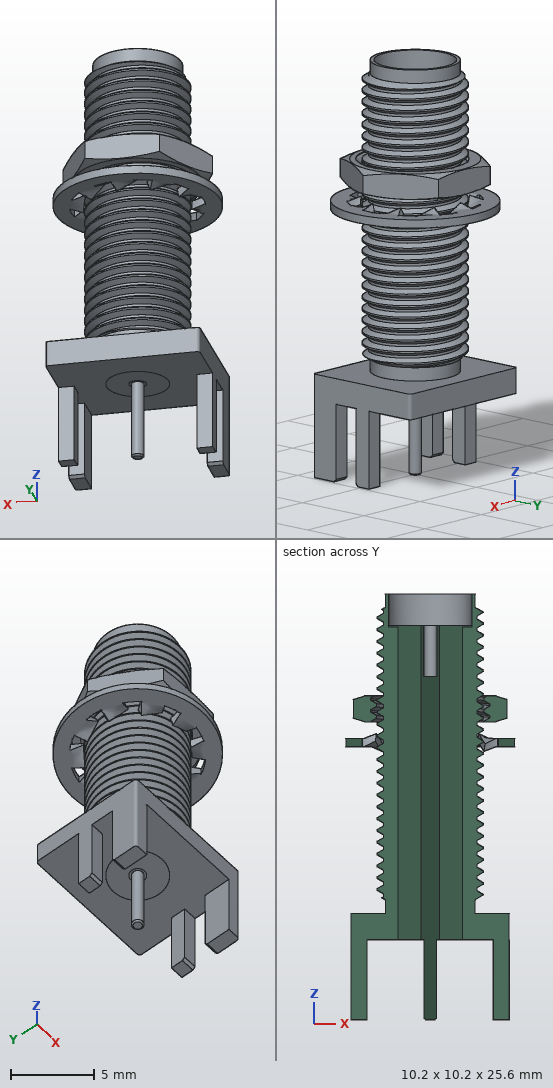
import cadquery as cq
import math

total_height = 25.6
base_bottom = 4.8
base_top = 6.4

base_length_x = 9.52
base_width_y = 7.94
corner_radius = 0.2
leg_thickness_x = 0.97
corner_leg_inner_y = -2.07
middle_leg_y_min = -0.45
middle_leg_y_max = 0.6
leg_tip_chamfer = 0.18

barrel_radius = 2.71
thread_bottom = 7.22
thread_top = 24.78
thread_root_radius = 2.82
thread_crest_radius = 3.2
thread_turns = 24.75
thread_pitch = (thread_top - thread_bottom) / thread_turns
thread_crest_width = 0.1
flank_slope = math.tan(math.radians(30))
thread_embed = 0.08
first_crest_z = 24.17
thread_cone_slope = math.tan(math.radians(30))
thread_envelope_margin = 0.25
rim_bore_radius = 2.48
socket_depth = 1.9
socket_floor = total_height - socket_depth

insulator_radius = 1.92
insulator_head_thickness = 0.09
insulator_head_bottom = socket_floor - insulator_head_thickness

contact_radius = 0.55
contact_hole_radius = 0.38
contact_hole_depth = 3.07
tail_radius = 0.38
tail_chamfer = 0.1

nut_across_flats = 8.0
nut_bottom = 17.9
nut_height = 1.6
nut_corner_drop = 0.23
nut_face_radius = 3.95
nut_bore_radius = 3.23
nut_groove_radius = 3.58
nut_groove_angle = 200.0

washer_outer_radius = 5.1
washer_inner_radius = 4.1
washer_bottom = 16.4
washer_thickness = 0.5
tooth_count = 10
tooth_width = 1.4
tooth_twist = 26.0
tooth_inner_radius = 3.23
tooth_root_radius = 3.95
tooth_root_length = 0.38
first_tooth_angle = 18.0


def disc(radius, bottom, top):
    """Upright cylinder on the Z axis between two heights."""
    return cq.Workplane("XY").workplane(offset=bottom).circle(radius).extrude(top - bottom)


def helical_ridge(root_radius, crest_radius, crest_width, start_z, height, start_angle=0.0):
    """Right-hand helical ridge of trapezoidal section whose first section is centred on start_z."""
    half_crest = crest_width / 2
    half_root = half_crest + (crest_radius - root_radius) * flank_slope
    section = cq.Workplane("XZ").polyline([
        (root_radius, -half_root),
        (crest_radius, -half_crest),
        (crest_radius, half_crest),
        (root_radius, half_root),
    ]).close()
    helix = cq.Workplane(obj=cq.Wire.makeHelix(thread_pitch, height, root_radius))
    ridge = section.sweep(helix, isFrenet=True)
    return ridge.rotate((0, 0, 0), (0, 0, 1), start_angle).translate((0, 0, start_z))


def make_thread_envelope():
    """Space that the threaded length may fill: a cylinder with a cone at each end."""
    outer_radius = thread_crest_radius + thread_envelope_margin
    cone_height = (outer_radius - barrel_radius) * thread_cone_slope
    return (
        cq.Workplane("XZ")
        .polyline([
            (0, thread_bottom),
            (barrel_radius, thread_bottom),
            (outer_radius, thread_bottom + cone_height),
            (outer_radius, thread_top - cone_height),
            (barrel_radius, thread_top),
            (0, thread_top),
        ])
        .close()
        .revolve(360, (0, 0, 0), (0, 1, 0))
    )


def make_thread():
    """External thread ridge, trimmed by the conical ends of the threaded length."""
    length = thread_top - thread_bottom
    turns_down = math.ceil((first_crest_z - thread_bottom) / thread_pitch) + 1
    start_z = first_crest_z - turns_down * thread_pitch
    ridge = helical_ridge(
        thread_root_radius - thread_embed, thread_crest_radius, thread_crest_width,
        start_z, length + 4 * thread_pitch, start_angle=180.0,
    )
    return ridge.intersect(make_thread_envelope())


def make_leg(side, y_min, y_max, chamfer_selector):
    """Leg flush with the +X (side = 1) or -X (side = -1) edge of the base."""
    centre_x = side * (base_length_x - leg_thickness_x) / 2
    return (
        cq.Workplane("XY")
        .center(centre_x, (y_min + y_max) / 2)
        .rect(leg_thickness_x, y_max - y_min)
        .extrude(base_top)
        .faces("<Z")
        .edges(chamfer_selector)
        .chamfer(leg_tip_chamfer)
    )


def make_housing():
    base = (
        cq.Workplane("XY")
        .workplane(offset=base_bottom)
        .rect(base_length_x, base_width_y)
        .extrude(base_top - base_bottom)
    )
    for side in (-1, 1):
        base = base.union(make_leg(side, -base_width_y / 2, corner_leg_inner_y, ">Y"))
        base = base.union(make_leg(side, middle_leg_y_min, middle_leg_y_max, "<Y"))
    outline = (
        cq.Workplane("XY")
        .rect(base_length_x, base_width_y)
        .extrude(total_height)
        .edges("|Z")
        .fillet(corner_radius)
    )
    base = base.intersect(outline)

    barrel = disc(barrel_radius, base_top, total_height)
    thread_core = disc(thread_root_radius, thread_bottom, thread_top)
    barrel = barrel.union(thread_core.intersect(make_thread_envelope()))
    body = base.union(barrel)
    body = body.cut(disc(rim_bore_radius, insulator_head_bottom, total_height))
    body = body.cut(disc(insulator_radius, base_bottom, insulator_head_bottom))
    return body.union(make_thread(), clean=False)


def make_insulator():
    insulator = disc(insulator_radius, base_bottom, insulator_head_bottom)
    insulator = insulator.union(disc(rim_bore_radius, insulator_head_bottom, socket_floor))
    return insulator.cut(disc(contact_radius, base_bottom, socket_floor))


def make_contact():
    tail = disc(tail_radius, 0, base_bottom).faces("<Z").chamfer(tail_chamfer)
    contact = tail.union(disc(contact_radius, base_bottom, socket_floor))
    return contact.cut(disc(contact_hole_radius, socket_floor - contact_hole_depth, socket_floor))


def make_nut():
    hexagon_radius = nut_across_flats / math.sqrt(3)
    hexagon = (
        cq.Workplane("XY")
        .polygon(6, 2 * hexagon_radius)
        .extrude(nut_height)
    )
    chamfer_envelope = (
        cq.Workplane("XZ")
        .polyline([
            (0, 0),
            (nut_face_radius, 0),
            (hexagon_radius, nut_corner_drop),
            (hexagon_radius, nut_height - nut_corner_drop),
            (nut_face_radius, nut_height),
            (0, nut_height),
        ])
        .close()
        .revolve(360, (0, 0, 0), (0, 1, 0))
    )
    nut = hexagon.intersect(chamfer_envelope).translate((0, 0, nut_bottom))
    groove = helical_ridge(
        nut_bore_radius - thread_embed, nut_groove_radius, thread_crest_width,
        nut_bottom - thread_pitch, nut_height + 2 * thread_pitch, start_angle=nut_groove_angle,
    )
    tap_overrun = 2 * thread_pitch
    tap_core = disc(nut_bore_radius, nut_bottom - tap_overrun, nut_bottom + nut_height + tap_overrun)
    return nut.cut(tap_core.union(groove))


def make_washer():
    middle_z = washer_bottom + washer_thickness / 2
    washer = disc(washer_outer_radius, washer_bottom, washer_bottom + washer_thickness)
    washer = washer.cut(disc(washer_inner_radius, washer_bottom, washer_bottom + washer_thickness))
    flat_root = (
        cq.Workplane("YZ", origin=(tooth_root_radius, 0, middle_z))
        .rect(tooth_width, washer_thickness)
        .extrude(tooth_root_length)
    )
    twisted_tip = (
        cq.Workplane("YZ", origin=(tooth_root_radius, 0, middle_z))
        .rect(tooth_width, washer_thickness)
        .workplane(offset=tooth_inner_radius - tooth_root_radius)
        .transformed(rotate=(0, 0, tooth_twist))
        .rect(tooth_width, washer_thickness)
        .loft(ruled=True)
    )
    tooth = flat_root.union(twisted_tip)
    for index in range(tooth_count):
        angle = first_tooth_angle + index * 360 / tooth_count
        washer = washer.union(tooth.rotate((0, 0, 0), (0, 0, 1), angle))
    return washer


housing = make_housing()
insulator = make_insulator()
contact = make_contact()
nut = make_nut()
washer = make_washer()

result = cq.Compound.makeCompound([
    housing.val(),
    insulator.val(),
    contact.val(),
    nut.val(),
    washer.val(),
])